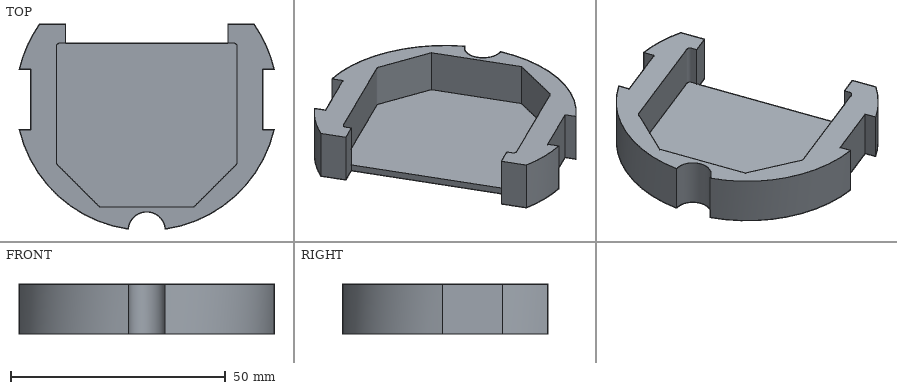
import cadquery as cq

DISC_RADIUS = 30.5
HEIGHT = 11.6
BACK_FLAT_Y = 17.52

SIDE_NOTCH_LENGTH = 14.0
SIDE_NOTCH_FLOOR_X = 27.0

FRONT_NOTCH_RADIUS = 4.3
FRONT_NOTCH_CENTER_Y = -DISC_RADIUS

FLOOR_THICKNESS = 1.6
POCKET_HALF_WIDTH = 21.05
POCKET_BACK_Y = 13.1
POCKET_FRONT_Y = -25.05
POCKET_CORNER_CUT = 10.1
POCKET_CORNER_RADIUS = 0.8

OPENING_WIDTH = 37.8


def make_body():
    """Disc with its +Y side trimmed to a flat."""
    disc = cq.Workplane("XY").circle(DISC_RADIUS).extrude(HEIGHT)
    trim_depth = DISC_RADIUS - BACK_FLAT_Y
    trim = (
        cq.Workplane("XY")
        .center(0, BACK_FLAT_Y + trim_depth / 2)
        .rect(2 * DISC_RADIUS, trim_depth)
        .extrude(HEIGHT)
    )
    return disc.cut(trim)


def make_side_notches():
    """Pair of blocks that notch the rim at -X and +X."""
    notch_depth = DISC_RADIUS - SIDE_NOTCH_FLOOR_X
    center_x = SIDE_NOTCH_FLOOR_X + notch_depth / 2
    return (
        cq.Workplane("XY")
        .pushPoints([(-center_x, 0), (center_x, 0)])
        .rect(notch_depth, SIDE_NOTCH_LENGTH)
        .extrude(HEIGHT)
    )


def make_front_notch():
    """Cylinder that cuts the round notch at -Y."""
    return (
        cq.Workplane("XY")
        .center(0, FRONT_NOTCH_CENTER_Y)
        .circle(FRONT_NOTCH_RADIUS)
        .extrude(HEIGHT)
    )


def make_pocket():
    """Six-sided pocket above the floor, rounded at the ends of its side walls."""
    front_half_width = POCKET_HALF_WIDTH - POCKET_CORNER_CUT
    cut_end_y = POCKET_FRONT_Y + POCKET_CORNER_CUT
    return (
        cq.Workplane("XY", origin=(0, 0, FLOOR_THICKNESS))
        .moveTo(-POCKET_HALF_WIDTH, POCKET_BACK_Y)
        .lineTo(-POCKET_HALF_WIDTH, cut_end_y)
        .lineTo(-front_half_width, POCKET_FRONT_Y)
        .lineTo(front_half_width, POCKET_FRONT_Y)
        .lineTo(POCKET_HALF_WIDTH, cut_end_y)
        .lineTo(POCKET_HALF_WIDTH, POCKET_BACK_Y)
        .close()
        .extrude(HEIGHT - FLOOR_THICKNESS)
        .edges("|Z")
        .edges("<X or >X")
        .fillet(POCKET_CORNER_RADIUS)
    )


def make_back_opening():
    """Block that opens the back wall through the full height."""
    opening_depth = BACK_FLAT_Y - POCKET_BACK_Y
    return (
        cq.Workplane("XY")
        .center(0, POCKET_BACK_Y + opening_depth / 2)
        .rect(OPENING_WIDTH, opening_depth)
        .extrude(HEIGHT)
    )


result = (
    make_body()
    .cut(make_side_notches())
    .cut(make_front_notch())
    .cut(make_pocket())
    .cut(make_back_opening())
)